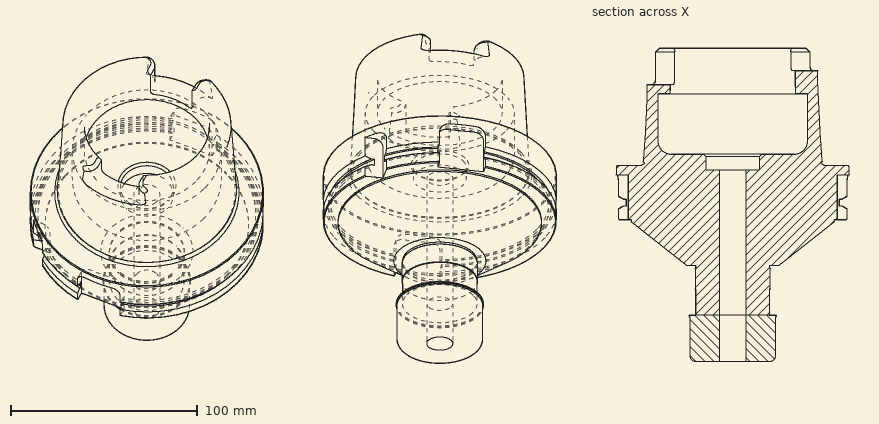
import cadquery as cq

TOTAL_HEIGHT = 168.0
NUT_HEIGHT = 24.9
COLLAR_BOTTOM = 39.0
COLLAR_TOP = 50.2
CONE_BOTTOM = 51.4
FLANGE_BOTTOM = 76.0
FLANGE_TOP = 105.2
TAPER_BOTTOM = 107.2
BORE_LIP_BOTTOM = 143.5
BORE_FLOOR = 111.2

SHANK_DIAMETER = 40.0
COLLAR_DIAMETER = 40.5
COLLAR_CHAMFER = (COLLAR_DIAMETER - SHANK_DIAMETER) / 2
CONE_SMALL_RADIUS = 24.7
CONE_LARGE_RADIUS = 54.6
CONE_BAND_HEIGHT = 1.0

FLANGE_RADIUS = 62.5
FLANGE_CHAMFER = 0.5
GROOVE_FLOOR_RADIUS = 58.5
GROOVE_SHOULDER_RADIUS = 59.8
GROOVE_FLOOR_BOTTOM = 83.5
GROOVE_FLOOR_TOP = 87.0
GROOVE_FLANK_HEIGHT = 1.5

TAPER_BOTTOM_RADIUS = 48.0
TAPER_TOP_RADIUS = 45.0
TAPER_RELIEF_RADIUS = 47.4
TAPER_RELIEF_HEIGHT = 1.0
TAPER_ROOT_RADIUS = 49.4
TAPER_ROOT_STEP_RADIUS = 48.4
TAPER_ROOT_STEP_HEIGHT = 0.7
RIM_FILLET = 2.7
BORE_DIAMETER = 67.0
BORE_RIM_FILLET = 2.2
UNDERCUT_DIAMETER = 80.0
UNDERCUT_FILLET = 7.0
COUNTERBORE_DIAMETER = 28.4
COUNTERBORE_MOUTH_DIAMETER = 31.0
COUNTERBORE_DEPTH = 8.4
THROUGH_HOLE_DIAMETER = 14.0

SLOT_WIDTH = 24.5
SLOT_FLARE_RADIUS = 6.2
SLOT_FLARE_START = 35.3
SLOT_EDGE_BREAK = 2.2
FRONT_SLOT_FLOOR = 155.9
REAR_SLOT_FLOOR = 148.5
SLOT_REACH = 67.2

KEYWAY_WIDTH = 25.0
KEYWAY_FLOOR = 56.1
KEYWAY_TOP = 100.0
KEYWAY_CORNER_RADIUS = 5.0
NOTCH_CORNER = 39.0
NOTCH_CUTTER_SIDE = 16.8

NUT_DIAMETER = 46.0
NUT_LIP_DIAMETER = 46.9
NUT_LIP_HEIGHT = 1.3
NUT_LIP_BAND = 0.7
NUT_LIP_BEVEL = 0.2
NUT_FILLET = 3.0


def revolve_profile(profile):
    """Close an (r, z) half profile and turn it around the Z axis."""
    return profile.close().revolve(360, (0, 0, 0), (0, 1, 0))


def cylinder(diameter, bottom, top):
    return cq.Workplane("XY").workplane(offset=bottom).circle(diameter / 2).extrude(top - bottom)


def make_holder_blank():
    """Solid outside shape: shank, cone, flange and taper."""
    shank_radius = SHANK_DIAMETER / 2
    collar_radius = COLLAR_DIAMETER / 2
    flange_edge = FLANGE_RADIUS - FLANGE_CHAMFER
    blank = revolve_profile(
        cq.Workplane("XZ")
        .moveTo(0, NUT_HEIGHT)
        .lineTo(shank_radius, NUT_HEIGHT)
        .lineTo(shank_radius, COLLAR_BOTTOM - COLLAR_CHAMFER)
        .lineTo(collar_radius, COLLAR_BOTTOM)
        .lineTo(collar_radius, COLLAR_TOP - COLLAR_CHAMFER)
        .lineTo(shank_radius, COLLAR_TOP)
        .lineTo(shank_radius, CONE_BOTTOM)
        .lineTo(CONE_SMALL_RADIUS, CONE_BOTTOM)
        .lineTo(CONE_LARGE_RADIUS, FLANGE_BOTTOM - CONE_BAND_HEIGHT)
        .lineTo(CONE_LARGE_RADIUS, FLANGE_BOTTOM)
        .lineTo(flange_edge, FLANGE_BOTTOM)
        .lineTo(FLANGE_RADIUS, FLANGE_BOTTOM + FLANGE_CHAMFER)
        .lineTo(FLANGE_RADIUS, FLANGE_TOP - FLANGE_CHAMFER)
        .lineTo(flange_edge, FLANGE_TOP)
        .lineTo(TAPER_ROOT_RADIUS, FLANGE_TOP)
        .lineTo(TAPER_ROOT_STEP_RADIUS, FLANGE_TOP + TAPER_ROOT_STEP_HEIGHT)
        .lineTo(TAPER_RELIEF_RADIUS, TAPER_BOTTOM - TAPER_RELIEF_HEIGHT)
        .lineTo(TAPER_BOTTOM_RADIUS, TAPER_BOTTOM)
        .lineTo(TAPER_TOP_RADIUS, TOTAL_HEIGHT)
        .lineTo(0, TOTAL_HEIGHT)
    )
    return blank.faces(">Z").edges().fillet(RIM_FILLET)


def make_gripper_groove():
    """Ring cut around the flange: sloped flanks leading to a square floor."""
    return revolve_profile(
        cq.Workplane("XZ")
        .moveTo(GROOVE_FLOOR_RADIUS, GROOVE_FLOOR_BOTTOM)
        .lineTo(GROOVE_SHOULDER_RADIUS, GROOVE_FLOOR_BOTTOM)
        .lineTo(FLANGE_RADIUS, GROOVE_FLOOR_BOTTOM - GROOVE_FLANK_HEIGHT)
        .lineTo(FLANGE_RADIUS, GROOVE_FLOOR_TOP + GROOVE_FLANK_HEIGHT)
        .lineTo(GROOVE_SHOULDER_RADIUS, GROOVE_FLOOR_TOP)
        .lineTo(GROOVE_FLOOR_RADIUS, GROOVE_FLOOR_TOP)
    )


def cut_bores(body):
    """Clamping bore with its wider undercut, the counterbore in its floor and the through hole."""
    body = body.cut(cylinder(BORE_DIAMETER, BORE_LIP_BOTTOM, TOTAL_HEIGHT))
    inner_rim = cq.selectors.RadiusNthSelector(0)
    body = body.faces(">Z").edges(inner_rim).fillet(BORE_RIM_FILLET)
    undercut = cylinder(UNDERCUT_DIAMETER, BORE_FLOOR, BORE_LIP_BOTTOM)
    body = body.cut(undercut.faces("<Z").edges().fillet(UNDERCUT_FILLET))
    counterbore_radius = COUNTERBORE_DIAMETER / 2
    mouth_radius = COUNTERBORE_MOUTH_DIAMETER / 2
    counterbore = revolve_profile(
        cq.Workplane("XZ")
        .moveTo(0, BORE_FLOOR - COUNTERBORE_DEPTH)
        .lineTo(counterbore_radius, BORE_FLOOR - COUNTERBORE_DEPTH)
        .lineTo(counterbore_radius, BORE_FLOOR - (mouth_radius - counterbore_radius))
        .lineTo(mouth_radius, BORE_FLOOR)
        .lineTo(0, BORE_FLOOR)
    )
    body = body.cut(counterbore)
    return body.cut(cylinder(THROUGH_HOLE_DIAMETER, NUT_HEIGHT, BORE_FLOOR))


def slot_outline(height, growth=0.0):
    """Drive slot seen from above, opening toward -Y and flaring out at its mouth."""
    half_width = SLOT_WIDTH / 2 + growth
    radius = SLOT_FLARE_RADIUS - growth
    mouth = SLOT_FLARE_START + radius
    return (
        cq.Workplane("XY")
        .workplane(offset=height)
        .moveTo(-half_width, 0)
        .lineTo(-half_width, -SLOT_FLARE_START)
        .radiusArc((-half_width - radius, -mouth), radius)
        .lineTo(-SLOT_REACH, -mouth)
        .lineTo(-SLOT_REACH, -SLOT_REACH)
        .lineTo(SLOT_REACH, -SLOT_REACH)
        .lineTo(SLOT_REACH, -mouth)
        .lineTo(half_width + radius, -mouth)
        .radiusArc((half_width, -SLOT_FLARE_START), radius)
        .lineTo(half_width, 0)
        .close()
    )


def make_slot_cutter(floor):
    """Drive slot with filleted floor edges and chamfered top edges."""
    cutter = slot_outline(floor).extrude(TOTAL_HEIGHT - floor)
    cutter = cutter.faces("<Z").edges().fillet(SLOT_EDGE_BREAK)
    lower = slot_outline(TOTAL_HEIGHT - SLOT_EDGE_BREAK).wires().val()
    upper = slot_outline(TOTAL_HEIGHT, SLOT_EDGE_BREAK).wires().val()
    top_chamfer = cq.Solid.makeLoft([lower, upper], True)
    return cutter.union(cq.Workplane(top_chamfer))


def make_keyway_cutter():
    """Round-cornered keyway on the -Y side of the flange, open at the flange bottom."""
    height = KEYWAY_TOP - FLANGE_BOTTOM
    depth = FLANGE_RADIUS - KEYWAY_FLOOR
    cutter = cq.Workplane("XY").box(KEYWAY_WIDTH, depth, height, centered=(True, False, False))
    cutter = cutter.edges("|Y and >Z").fillet(KEYWAY_CORNER_RADIUS)
    return cutter.translate((0, -FLANGE_RADIUS, FLANGE_BOTTOM))


def make_notch_cutter():
    """Square-cornered orientation notch at the (-X, -Y) corner of the flange."""
    height = KEYWAY_TOP - FLANGE_BOTTOM
    cutter = cq.Workplane("XY").box(NOTCH_CUTTER_SIDE, NOTCH_CUTTER_SIDE, height, centered=False)
    cutter = cutter.edges("|Y and >Z and >X").fillet(KEYWAY_CORNER_RADIUS)
    corner = -NOTCH_CORNER - NOTCH_CUTTER_SIDE
    return cutter.translate((corner, corner, FLANGE_BOTTOM))


def half_turn(cutter):
    return cutter.rotate((0, 0, 0), (0, 0, 1), 180)


def make_holder():
    body = cut_bores(make_holder_blank()).cut(make_gripper_groove())
    body = body.cut(make_slot_cutter(FRONT_SLOT_FLOOR))
    body = body.cut(half_turn(make_slot_cutter(REAR_SLOT_FLOOR)))
    keyway = make_keyway_cutter()
    return body.cut(keyway).cut(half_turn(keyway)).cut(make_notch_cutter())


def make_nut():
    """Clamping nut with a thin lip at its top and a rounded lower edge."""
    nut_radius = NUT_DIAMETER / 2
    lip_radius = NUT_LIP_DIAMETER / 2
    lip_top = NUT_HEIGHT - NUT_LIP_BEVEL
    nut = revolve_profile(
        cq.Workplane("XZ")
        .moveTo(0, 0)
        .lineTo(nut_radius, 0)
        .lineTo(nut_radius, NUT_HEIGHT - NUT_LIP_HEIGHT)
        .lineTo(lip_radius, lip_top - NUT_LIP_BAND)
        .lineTo(lip_radius, lip_top)
        .lineTo(lip_radius - NUT_LIP_BEVEL, NUT_HEIGHT)
        .lineTo(0, NUT_HEIGHT)
    )
    nut = nut.faces("<Z").edges().fillet(NUT_FILLET)
    return nut.cut(cylinder(THROUGH_HOLE_DIAMETER, 0, NUT_HEIGHT))


holder = make_holder()
nut = make_nut()

result = cq.Compound.makeCompound([holder.val(), nut.val()])